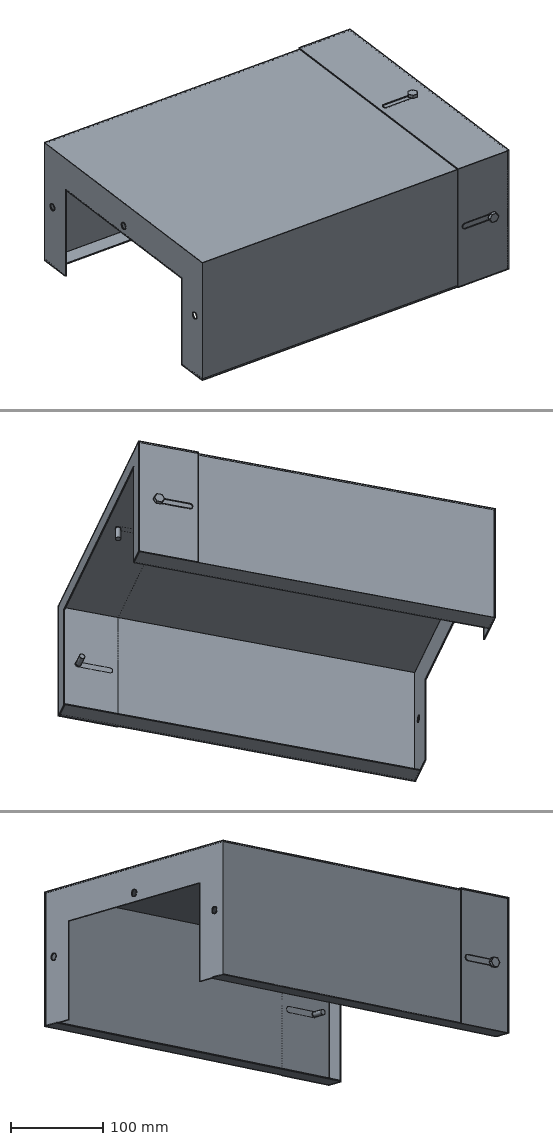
import cadquery as cq
import math

SHEET = 1.2
TOTAL_LENGTH = 404.0
SLEEVE_WIDTH = 303.0
SLEEVE_HEIGHT = 151.5
SLEEVE_LENGTH = 67.5
REAR_LIP = 20.0

COVER_WIDTH = SLEEVE_WIDTH - 2 * SHEET
COVER_HEIGHT = SLEEVE_HEIGHT - SHEET
COVER_LENGTH = TOTAL_LENGTH - SHEET
FRONT_FRAME = 40.0
BOTTOM_FLANGE = 20.0

FRAME_HOLE_DIAMETER = 8.0
TOP_HOLE_DROP = 30.0
SIDE_HOLE_INSET = 15.0
MID_HEIGHT = COVER_HEIGHT / 2

BOLT_REAR_INSET = 22.2
BOLT_Y = TOTAL_LENGTH - BOLT_REAR_INSET
HEAD_SIDES = 6
HEAD_FLATS = 10.0
HEAD_HEIGHT = 4.0
HEAD_CORNERS = HEAD_FLATS / math.cos(math.pi / HEAD_SIDES)
SHANK_DIAMETER = 6.0
SHANK_LENGTH = 16.0
SLOT_WIDTH = 7.0
SLOT_TRAVEL = 35.5

BOLT_PLANES = [
    cq.Plane(origin=(0, BOLT_Y, SLEEVE_HEIGHT), xDir=(0, 1, 0), normal=(0, 0, 1)),
    cq.Plane(origin=(-SLEEVE_WIDTH / 2, BOLT_Y, MID_HEIGHT), xDir=(0, 1, 0), normal=(-1, 0, 0)),
    cq.Plane(origin=(SLEEVE_WIDTH / 2, BOLT_Y, MID_HEIGHT), xDir=(0, 1, 0), normal=(1, 0, 0)),
]


def block(width, y_start, y_end, z_start, z_end):
    """Box centered on X = 0 between the given Y and Z limits."""
    return (
        cq.Workplane("XY")
        .box(width, y_end - y_start, z_end - z_start, centered=(True, False, False))
        .translate((0, y_start, z_start))
    )


def make_shank(plane):
    """Bolt shank reaching inward from the sleeve's outer face."""
    return cq.Workplane(plane).circle(SHANK_DIAMETER / 2).extrude(-SHANK_LENGTH)


def make_cover():
    """Channel, open at the back, with a front frame and two bottom flanges."""
    cover = block(COVER_WIDTH, 0, COVER_LENGTH, 0, COVER_HEIGHT)
    inner_width = COVER_WIDTH - 2 * SHEET
    cover = cover.cut(block(inner_width, SHEET, COVER_LENGTH, SHEET, COVER_HEIGHT - SHEET))

    flange_gap = COVER_WIDTH - 2 * BOTTOM_FLANGE
    cover = cover.cut(block(flange_gap, SHEET, COVER_LENGTH, 0, SHEET))

    opening_width = COVER_WIDTH - 2 * FRONT_FRAME
    cover = cover.cut(block(opening_width, 0, SHEET, 0, COVER_HEIGHT - FRONT_FRAME))

    side_hole_x = COVER_WIDTH / 2 - SIDE_HOLE_INSET
    hole_centers = [
        (0, COVER_HEIGHT - TOP_HOLE_DROP),
        (-side_hole_x, MID_HEIGHT),
        (side_hole_x, MID_HEIGHT),
    ]
    frame_holes = (
        cq.Workplane("XZ").pushPoints(hole_centers).circle(FRAME_HOLE_DIAMETER / 2).extrude(-SHEET)
    )
    cover = cover.cut(frame_holes)

    for plane in BOLT_PLANES:
        cover = cover.cut(make_shank(plane))
    return cover


def make_sleeve():
    """Three-sided sleeve over the back of the cover, with a rear lip and a slot in each side."""
    sleeve_front = TOTAL_LENGTH - SLEEVE_LENGTH
    sleeve = block(SLEEVE_WIDTH, sleeve_front, TOTAL_LENGTH, 0, SLEEVE_HEIGHT)
    sleeve = sleeve.cut(block(COVER_WIDTH, sleeve_front, COVER_LENGTH, 0, COVER_HEIGHT))

    opening_width = SLEEVE_WIDTH - 2 * REAR_LIP
    sleeve = sleeve.cut(block(opening_width, COVER_LENGTH, TOTAL_LENGTH, 0, SLEEVE_HEIGHT - REAR_LIP))

    for plane in BOLT_PLANES:
        slot = (
            cq.Workplane(plane)
            .center(-SLOT_TRAVEL / 2, 0)
            .slot2D(SLOT_TRAVEL + SLOT_WIDTH, SLOT_WIDTH)
            .extrude(-SHEET)
        )
        sleeve = sleeve.cut(slot)
    return sleeve


def make_bolt(plane):
    """Hex bolt whose head sits on the sleeve's outer face, with two corners along Y."""
    head = cq.Workplane(plane).polygon(HEAD_SIDES, HEAD_CORNERS).extrude(HEAD_HEIGHT)
    return head.union(make_shank(plane))


cover = make_cover()
sleeve = make_sleeve()
bolts = [make_bolt(plane) for plane in BOLT_PLANES]

result = cq.Compound.makeCompound([cover.val(), sleeve.val(), *[bolt.val() for bolt in bolts]])